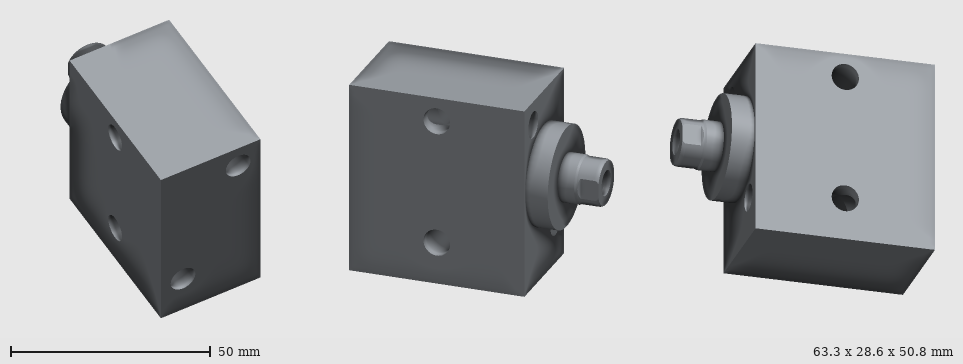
import cadquery as cq
import math

total_length = 63.3
block_width = 28.55
block_height = 50.8
axis_below_top = 23.05

flange_length = 5.95
flange_diameter = 27.1
rod_length = 10.6
rod_diameter = 12.8
tip_diameter = 12.3
tip_end_diameter = 11.65
tip_rounding_length = 1.1
shoulder_start = 5.65
shoulder_end = 6.2

flat_spacing = 11.0
flat_length = 4.8

bore_diameter = 5.2
bore_mouth_diameter = 6.7
bore_entry_diameter = 6.15
bore_chamfer_depth = 0.45
bore_entry_depth = 1.4
bore_depth = 10.1
drill_point_angle = 118.0

hole_diameter = 7.1
hole_below_top = 6.3
hole_spacing = 33.3
hole_side_offset = 7.9

block_start = rod_length + flange_length
block_length = total_length - block_start
block_bottom = axis_below_top - block_height
upper_hole_z = axis_below_top - hole_below_top
lower_hole_z = upper_hole_z - hole_spacing


def make_block():
    corner = (block_start, -block_width / 2, block_bottom)
    return cq.Workplane("XY").box(block_length, block_width, block_height, centered=False).translate(corner)


def make_rod_and_flange():
    """Turned rod with a rounded tip that runs tangent into the cylinder."""
    tip_radius = tip_diameter / 2
    end_radius = tip_end_diameter / 2
    drop = tip_radius - end_radius
    rounding_radius = (tip_rounding_length**2 + drop**2) / (2 * drop)
    half_angle = math.asin(tip_rounding_length / rounding_radius) / 2
    arc_middle = (
        tip_rounding_length - rounding_radius * math.sin(half_angle),
        tip_radius - rounding_radius * (1 - math.cos(half_angle)),
    )
    outline = (
        cq.Workplane("XY")
        .lineTo(0, end_radius)
        .threePointArc(arc_middle, (tip_rounding_length, tip_radius))
        .lineTo(shoulder_start, tip_radius)
        .lineTo(shoulder_end, rod_diameter / 2)
        .lineTo(rod_length, rod_diameter / 2)
        .lineTo(rod_length, flange_diameter / 2)
        .lineTo(block_start, flange_diameter / 2)
        .lineTo(block_start, 0)
        .close()
    )
    return outline.revolve(360, (0, 0, 0), (1, 0, 0))


def make_flat_cutter():
    """Material removed beside the flat on the +Y side of the rod."""
    outer_y = rod_diameter / 2
    flat_y = flat_spacing / 2
    run_out_end = flat_length + outer_y - flat_y
    outline = [(0, flat_y), (flat_length, flat_y), (run_out_end, outer_y), (0, outer_y)]
    return cq.Workplane("XY").polyline(outline).close().extrude(rod_diameter / 2, both=True)


def make_bore():
    """Drilled bore with a chamfered mouth and a tapered entry."""
    radius = bore_diameter / 2
    entry_radius = bore_entry_diameter / 2
    mouth_radius = bore_mouth_diameter / 2
    point_length = radius / math.tan(math.radians(drill_point_angle / 2))
    outline = [
        (0, 0),
        (0, mouth_radius),
        (bore_chamfer_depth, entry_radius),
        (bore_entry_depth, radius),
        (bore_depth, radius),
        (bore_depth + point_length, 0),
    ]
    return cq.Workplane("XY").polyline(outline).close().revolve(360, (0, 0, 0), (1, 0, 0))


def make_cross_hole(z):
    """Hole through the block along Y, halfway along its length."""
    center = (block_start + block_length / 2, -block_width / 2, z)
    return cq.Workplane("XZ", origin=center).circle(hole_diameter / 2).extrude(-block_width)


def make_long_hole(y, z):
    """Hole through the block along X."""
    return cq.Workplane("YZ", origin=(block_start, y, z)).circle(hole_diameter / 2).extrude(block_length)


result = make_block().union(make_rod_and_flange()).cut(make_bore())

flat_cutter = make_flat_cutter()
result = result.cut(flat_cutter).cut(flat_cutter.mirror("XZ"))

for y, z in [(hole_side_offset, upper_hole_z), (-hole_side_offset, lower_hole_z)]:
    result = result.cut(make_cross_hole(z)).cut(make_long_hole(y, z))